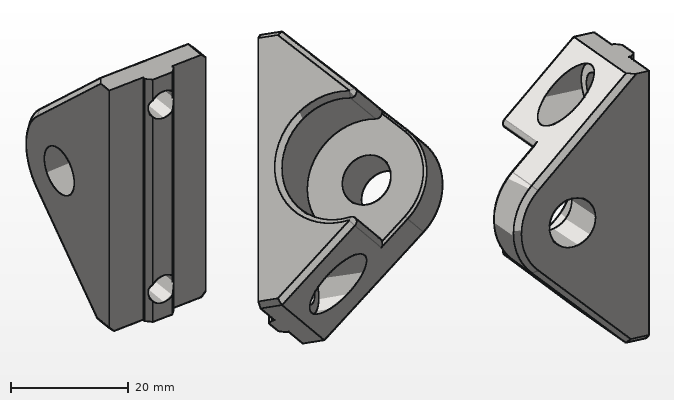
import cadquery as cq
import math

height = 50.0
width = 20.0
body_depth = 26.0
end_depth = 4.0
nose_radius = 11.0
edge_chamfer = 1.0
back_chamfer = 0.95
mid_z = height / 2

pivot_diameter = 9.0
pocket_radius = 11.0
ledge_width = 8.25
ledge_chamfer = 0.45
tip_radius = 1.0

screw_y = 10.15
screw_offset = 19.0
screw_diameter = 5.5
counterbore_diameter = 9.0
counterbore_floor = 21.0

rail_y = width / 2
rail_width = 6.0
rail_height = 1.5
rail_chamfer = 1.0

slope_x = body_depth - end_depth
corner_distance = math.hypot(slope_x - nose_radius, mid_z)
normal_angle = math.atan2(mid_z, slope_x - nose_radius) + math.acos(nose_radius / corner_distance)
normal_x = math.cos(normal_angle)
normal_z = math.sin(normal_angle)

tip_distance = pocket_radius + tip_radius
tip_inset = nose_radius - tip_radius
tip_along = math.sqrt(tip_distance**2 - tip_inset**2)
tip_x = tip_inset * normal_x + tip_along * normal_z
tip_z = tip_inset * normal_z - tip_along * normal_x


def from_pivot(x, z):
    """Turn an offset from the pivot axis into profile coordinates."""
    return (nose_radius + x, mid_z + z)


def plate(y):
    """Workplane at depth y whose extrusions run toward -Y."""
    return cq.Workplane("XZ", origin=(0, y, 0))


def nose_profile(y):
    tangent_x = nose_radius * normal_x
    tangent_z = nose_radius * normal_z
    return (
        plate(y)
        .moveTo(body_depth, 0)
        .lineTo(slope_x, 0)
        .lineTo(*from_pivot(tangent_x, -tangent_z))
        .threePointArc((0, mid_z), from_pivot(tangent_x, tangent_z))
        .lineTo(slope_x, height)
        .lineTo(body_depth, height)
        .close()
    )


def block_profile(y):
    slope_touch = (tip_x + tip_radius * normal_x, tip_z + tip_radius * normal_z)
    pocket_touch = (tip_x * pocket_radius / tip_distance, tip_z * pocket_radius / tip_distance)
    tip_end = (tip_x - tip_radius, tip_z)
    return (
        plate(y)
        .moveTo(body_depth, 0)
        .lineTo(slope_x, 0)
        .lineTo(*from_pivot(slope_touch[0], -slope_touch[1]))
        .threePointArc(from_pivot(tip_end[0], -tip_end[1]), from_pivot(pocket_touch[0], -pocket_touch[1]))
        .threePointArc(from_pivot(pocket_radius, 0), from_pivot(*pocket_touch))
        .threePointArc(from_pivot(*tip_end), from_pivot(*slope_touch))
        .lineTo(slope_x, height)
        .lineTo(body_depth, height)
        .close()
    )


def make_ledge():
    ledge = nose_profile(ledge_width).extrude(ledge_width)
    ledge = ledge.faces("<Y").edges("not(>X or >Z)").chamfer(edge_chamfer)
    return ledge.faces(">Y").edges("not(>X or >Z or <Z)").chamfer(ledge_chamfer)


def make_block():
    front_y = ledge_width - ledge_chamfer
    block = block_profile(width).extrude(width - front_y)
    return block.faces(">Y").edges("not(>X)").chamfer(back_chamfer)


def make_rail():
    base_half = rail_width / 2
    top_half = base_half - rail_chamfer
    rail_top = body_depth + rail_height
    shoulder = rail_top - rail_chamfer
    return (
        cq.Workplane("XY")
        .polyline([
            (body_depth, rail_y - base_half),
            (shoulder, rail_y - base_half),
            (rail_top, rail_y - top_half),
            (rail_top, rail_y + top_half),
            (shoulder, rail_y + base_half),
            (body_depth, rail_y + base_half),
        ])
        .close()
        .extrude(height)
    )


def screw_hole(z):
    start = cq.Workplane("YZ").center(screw_y, z)
    through = start.circle(screw_diameter / 2).extrude(body_depth + rail_height)
    counterbore = start.circle(counterbore_diameter / 2).extrude(counterbore_floor)
    return through.union(counterbore)


pivot_hole = plate(width).center(nose_radius, mid_z).circle(pivot_diameter / 2).extrude(width)

result = make_ledge().union(make_block()).union(make_rail()).cut(pivot_hole)
for side in (-1, 1):
    result = result.cut(screw_hole(mid_z + side * screw_offset))